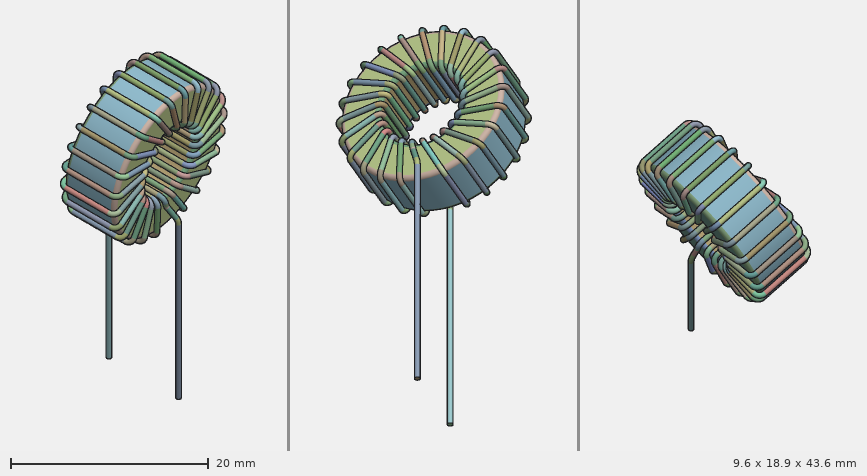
import cadquery as cq
import math


core_outer_diameter = 17.7
core_bore_diameter = 9.2
core_width = 6.5
core_edge_radius = 0.5
wire_radius = 0.3
turn_positions = 24
overall_width = 9.6
overall_height = 43.6

left_exit_depth = 5.35
left_drop_depth = 7.25
left_drop_bend_radius = 3.92
right_exit_depth = 5.6
right_drop_depth = 7.75
right_drop_bend_radius = 1.75

outer_wire_radius = core_outer_diameter / 2 + wire_radius
bore_wire_radius = core_bore_diameter / 2 - wire_radius
face_wire_x = core_width / 2 + wire_radius
wire_bend_radius = core_edge_radius + wire_radius
lead_x = overall_width / 2 - wire_radius
lead_end_z = outer_wire_radius + wire_radius - overall_height
turn_angle = 2 * math.pi / turn_positions


def ring_point(x, radius, turn):
    """Point on the ring at a turn position, counted from the bottom towards +Y."""
    angle = turn * turn_angle
    return cq.Vector(x, radius * math.sin(angle), -radius * math.cos(angle))


def left_lead_corners():
    """Corners of the lead on the -X side, from its free end up to the ring face."""
    return [
        (cq.Vector(-lead_x, 0, lead_end_z), 0),
        (cq.Vector(-lead_x, 0, -left_drop_depth), left_drop_bend_radius),
        (cq.Vector(-face_wire_x, 0, -left_exit_depth), wire_bend_radius),
    ]


def bore_corners(turn):
    """Corners of the wire where it runs through the bore from -X to +X."""
    return [
        (ring_point(-face_wire_x, bore_wire_radius, turn), wire_bend_radius),
        (ring_point(face_wire_x, bore_wire_radius, turn), wire_bend_radius),
    ]


def outside_corners(turn):
    """Corners of the wire where it runs back over the rim from +X to -X."""
    return [
        (ring_point(face_wire_x, outer_wire_radius, turn), wire_bend_radius),
        (ring_point(-face_wire_x, outer_wire_radius, turn), wire_bend_radius),
    ]


def right_lead_corners():
    """Corners of the lead on the +X side; it leaves the face on the slant of the last turn."""
    bore_end = ring_point(face_wire_x, bore_wire_radius, turn_positions - 1)
    rim_end = ring_point(face_wire_x, outer_wire_radius, turn_positions)
    slant = rim_end - bore_end
    exit_point = bore_end + slant * ((-right_exit_depth - bore_end.z) / slant.z)
    return [
        (exit_point, wire_bend_radius),
        (cq.Vector(lead_x, 0, -right_drop_depth), right_drop_bend_radius),
        (cq.Vector(lead_x, 0, lead_end_z), 0),
    ]


def bent_path(corners):
    """Straight runs between the corners, each inner corner rounded by its bend radius."""
    edges = []
    start = corners[0][0]
    for index in range(1, len(corners) - 1):
        corner, radius = corners[index]
        back = (corners[index - 1][0] - corner).normalized()
        ahead = (corners[index + 1][0] - corner).normalized()
        half_angle = back.getAngle(ahead) / 2
        trim = radius / math.tan(half_angle)
        bend_start = corner + back * trim
        bend_end = corner + ahead * trim
        to_bend_middle = radius / math.sin(half_angle) - radius
        bend_middle = corner + (back + ahead).normalized() * to_bend_middle
        edges.append(cq.Edge.makeLine(start, bend_start))
        edges.append(cq.Edge.makeThreePointArc(bend_start, bend_middle, bend_end))
        start = bend_end
    edges.append(cq.Edge.makeLine(start, corners[-1][0]))
    return cq.Wire.assembleEdges(edges)


def make_core():
    """Ring with all four circular edges rounded."""
    return (
        cq.Workplane("YZ", origin=(-core_width / 2, 0, 0))
        .circle(core_outer_diameter / 2)
        .circle(core_bore_diameter / 2)
        .extrude(core_width)
        .edges("%CIRCLE")
        .fillet(core_edge_radius)
    )


def make_winding():
    """One wire: radial on the -X face, stepping on to the next turn across the +X face."""
    corners = left_lead_corners() + bore_corners(0)
    for turn in range(1, turn_positions):
        corners += outside_corners(turn) + bore_corners(turn)
    corners += right_lead_corners()
    lead_end = cq.Workplane("XY", origin=corners[0][0].toTuple())
    return lead_end.circle(wire_radius).sweep(bent_path(corners))


core = make_core()
winding = make_winding()

result = cq.Compound.makeCompound([core.val(), winding.val()])